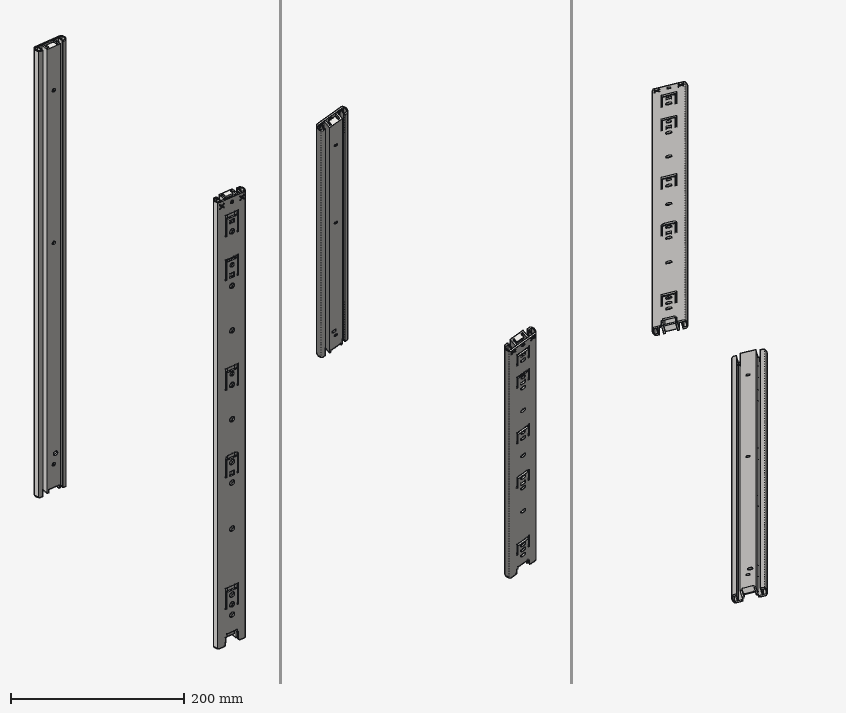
import cadquery as cq

LENGTH = 650.0
PAIR_WIDTH = 364.0
SLIDE_WIDTH = 42.0
SLIDE_DEPTH = 12.7
SHEET = 2.2

HALF_LENGTH = LENGTH / 2
HALF_WIDTH = SLIDE_WIDTH / 2
BOTTOM = -HALF_LENGTH

WEB_HALF_WIDTH = 17.9
LIP_X = 11.0
LIP_END_Y = 14.0
CORNER_X = 1.0
CORNER_Y = 19.5
CORNER_BULGE = 0.3
CROWN_X = LIP_X / 2
FLANGE_THICKNESS = 1.0
INSIDE_Y = HALF_WIDTH - FLANGE_THICKNESS
INSIDE_CORNER_Y = 19.0

RETAINER_THICKNESS = 1.0

INNER_HALF_WIDTH = 9.4
INNER_WEB_X = SLIDE_DEPTH - SHEET
INNER_BOTTOM = BOTTOM + 8.0
FLANGE_EAR = 4.5
STOP_X = 5.0
TOP_STOP_WIDTH = 10.5
TOP_STOP_HEIGHT = 3.0
BOTTOM_STOP_HEIGHT = 4.0

INNER_HOLE_DIAMETER = 4.5
INNER_HOLE_HEIGHTS = (261.0, 39.0, -283.5)
OFFSET_HOLE_DIAMETER = 6.0
OFFSET_HOLE_Y = 2.5
OFFSET_HOLE_HEIGHT = -268.5

TAB_SLIT = 2.0
TAB_CUT_WIDTH = 2 * INNER_HALF_WIDTH
HOOK_WIDTH = 10.5
HOOK_OVERLAP = 2.0
HOOK_CLEARANCE = 0.5
TABS = (
    (302.0, 31.0, 6.5, 0),
    (237.0, 30.0, 4.0, 0),
    (78.5, 31.0, 6.5, 0),
    (-49.0, 31.0, 6.5, 5.0),
    (-241.0, 30.5, 6.5, 0),
)

LARGE_HOLE_DIAMETER = 7.0
LARGE_HOLE_HEIGHTS = (275.0, 195.5, 130.5, 51.5, 1.0, -61.0, -91.0, -158.0, -254.0, -268.5, -283.5)
MEDIUM_HOLE_DIAMETER = 6.0
MEDIUM_HOLE_HEIGHTS = (226.0, 67.5)
STOP_HOLE_DIAMETER = 4.5
STOP_HOLE_HEIGHT = 318.0
SQUARE_SIZE = 6.5
SQUARE_HEIGHTS = (211.0, -77.5)
SLOT_HEIGHT = 4.5
SLOT_CENTRE_HEIGHT = 290.0

CROSS_Y = 14.0
CROSS_LENGTH = 8.5
CROSS_SLOT = 1.0
CROSS_ANGLE = 45

NOTCH_HALF_WIDTH = 9.4
NOTCH_HEIGHT = 12.5
NOTCH_MOUTH = 1.0
UPPER_NOTCH_HALF_WIDTH = 7.5
UPPER_NOTCH_HEIGHT = 17.0


def box(x0, x1, width, z0, z1, y=0):
    """Box between two depths and two heights, centred on a given Y."""
    block = cq.Workplane("XY").box(x1 - x0, width, z1 - z0, centered=(False, True, False))
    return block.translate((x0, y, z0))


def web_hole(diameter, height, x0, y=0):
    """Round cutter along X through one sheet that starts at depth x0."""
    circle = cq.Workplane("YZ", origin=(x0, y, height)).circle(diameter / 2)
    return circle.extrude(SHEET)


def outer_half_section(side):
    """Half of the outer section: half the web, one crowned flange and its lip."""
    corner_mid_y = (WEB_HALF_WIDTH + CORNER_Y) / 2
    outline = (
        cq.Workplane("XY", origin=(0, 0, BOTTOM))
        .moveTo(0, 0)
        .lineTo(0, side * WEB_HALF_WIDTH)
        .threePointArc((CORNER_BULGE, side * corner_mid_y), (CORNER_X, side * CORNER_Y))
        .threePointArc((CROWN_X, side * HALF_WIDTH), (LIP_X - CORNER_X, side * CORNER_Y))
        .threePointArc((LIP_X - CORNER_BULGE, side * corner_mid_y), (LIP_X, side * WEB_HALF_WIDTH))
        .lineTo(LIP_X, side * LIP_END_Y)
        .lineTo(LIP_X - SHEET, side * LIP_END_Y)
        .lineTo(LIP_X - SHEET, side * INSIDE_CORNER_Y)
        .threePointArc((CROWN_X, side * INSIDE_Y), (SHEET, side * INSIDE_CORNER_Y))
        .lineTo(SHEET, 0)
        .close()
    )
    return outline.extrude(LENGTH)


def tab_cutout(top, height, gap, corner_radius):
    """Inverted-U cut that frees a tab from the web."""
    window = box(0, SHEET, TAB_CUT_WIDTH, top - height, top)
    if corner_radius:
        window = window.edges("|X and >Z").fillet(corner_radius)
    tab = box(0, SHEET, TAB_CUT_WIDTH - 2 * TAB_SLIT, top - height, top - gap)
    return window.cut(tab)


def tab_hook(top, gap):
    """Hook plate on the inside of a tab, rising behind the gap above it."""
    return box(SHEET, 2 * SHEET, HOOK_WIDTH, top - gap - HOOK_OVERLAP, top - HOOK_CLEARANCE)


def cross_slots(side):
    """Two thin slots crossing at one upper corner of the web."""
    slot = box(0, SHEET, CROSS_SLOT, -CROSS_LENGTH / 2, CROSS_LENGTH / 2)
    falling = slot.rotate((0, 0, 0), (1, 0, 0), CROSS_ANGLE)
    rising = slot.rotate((0, 0, 0), (1, 0, 0), -CROSS_ANGLE)
    return falling.union(rising).translate((0, side * CROSS_Y, STOP_HOLE_HEIGHT))


def end_notch():
    """Stepped notch open at the lower end, with its mouth chamfered."""
    lower = box(0, SHEET, 2 * NOTCH_HALF_WIDTH, BOTTOM, BOTTOM + NOTCH_HEIGHT)
    upper = box(0, SHEET, 2 * UPPER_NOTCH_HALF_WIDTH, BOTTOM, BOTTOM + UPPER_NOTCH_HEIGHT)
    mouth_outline = [
        (-NOTCH_HALF_WIDTH - NOTCH_MOUTH, BOTTOM),
        (-NOTCH_HALF_WIDTH, BOTTOM + NOTCH_MOUTH),
        (NOTCH_HALF_WIDTH, BOTTOM + NOTCH_MOUTH),
        (NOTCH_HALF_WIDTH + NOTCH_MOUTH, BOTTOM),
    ]
    mouth = cq.Workplane("YZ").polyline(mouth_outline).close().extrude(SHEET)
    return lower.union(upper).union(mouth)


def make_outer_channel():
    """Outer channel with its mounting tabs and openings."""
    channel = outer_half_section(1).union(outer_half_section(-1), clean=True)
    for top, height, gap, corner_radius in TABS:
        channel = channel.cut(tab_cutout(top, height, gap, corner_radius))
        channel = channel.union(tab_hook(top, gap))
    for height in LARGE_HOLE_HEIGHTS:
        channel = channel.cut(web_hole(LARGE_HOLE_DIAMETER, height, 0))
    for height in MEDIUM_HOLE_HEIGHTS:
        channel = channel.cut(web_hole(MEDIUM_HOLE_DIAMETER, height, 0))
    channel = channel.cut(web_hole(STOP_HOLE_DIAMETER, STOP_HOLE_HEIGHT, 0))
    half_square = SQUARE_SIZE / 2
    for height in SQUARE_HEIGHTS:
        channel = channel.cut(box(0, SHEET, SQUARE_SIZE, height - half_square, height + half_square))
    slot_base = SLOT_CENTRE_HEIGHT - SLOT_HEIGHT / 2
    channel = channel.cut(box(0, SHEET, SQUARE_SIZE, slot_base, slot_base + SLOT_HEIGHT))
    for side in (1, -1):
        channel = channel.cut(cross_slots(side))
    return channel.cut(end_notch())


def make_inner_channel():
    """Inner channel facing the outer web, with an end stop at each end."""
    ear_bottom = INNER_BOTTOM - FLANGE_EAR
    flange_gap = 2 * (INNER_HALF_WIDTH - SHEET)
    channel = box(SHEET, SLIDE_DEPTH, 2 * INNER_HALF_WIDTH, ear_bottom, HALF_LENGTH)
    channel = channel.cut(box(SHEET, INNER_WEB_X, flange_gap, ear_bottom, HALF_LENGTH))
    channel = channel.cut(box(INNER_WEB_X, SLIDE_DEPTH, flange_gap, ear_bottom, INNER_BOTTOM))
    top_stop_base = HALF_LENGTH - TOP_STOP_HEIGHT
    channel = channel.union(box(STOP_X, INNER_WEB_X, TOP_STOP_WIDTH, top_stop_base, HALF_LENGTH))
    bottom_stop_top = INNER_BOTTOM + BOTTOM_STOP_HEIGHT
    channel = channel.union(box(STOP_X, INNER_WEB_X, flange_gap, INNER_BOTTOM, bottom_stop_top))
    for height in INNER_HOLE_HEIGHTS:
        channel = channel.cut(web_hole(INNER_HOLE_DIAMETER, height, INNER_WEB_X))
    offset_hole = web_hole(OFFSET_HOLE_DIAMETER, OFFSET_HOLE_HEIGHT, INNER_WEB_X, OFFSET_HOLE_Y)
    return channel.cut(offset_hole)


def make_ball_retainer(side):
    """Straight strip that spans from the outer web to one lip, flush with the lip end."""
    centre = side * (LIP_END_Y + RETAINER_THICKNESS / 2)
    return box(SHEET, LIP_X - SHEET, RETAINER_THICKNESS, BOTTOM, HALF_LENGTH, centre)


def left_slide():
    """All bodies of the slide whose outer web faces -X, in place."""
    bodies = [make_outer_channel(), make_inner_channel()]
    for side in (1, -1):
        bodies.append(make_ball_retainer(side))
    return [body.translate((-PAIR_WIDTH / 2, 0, 0)) for body in bodies]


solids = []
for body in left_slide():
    solids.append(body.val())
    solids.append(body.mirror("YZ").val())

result = cq.Compound.makeCompound(solids)